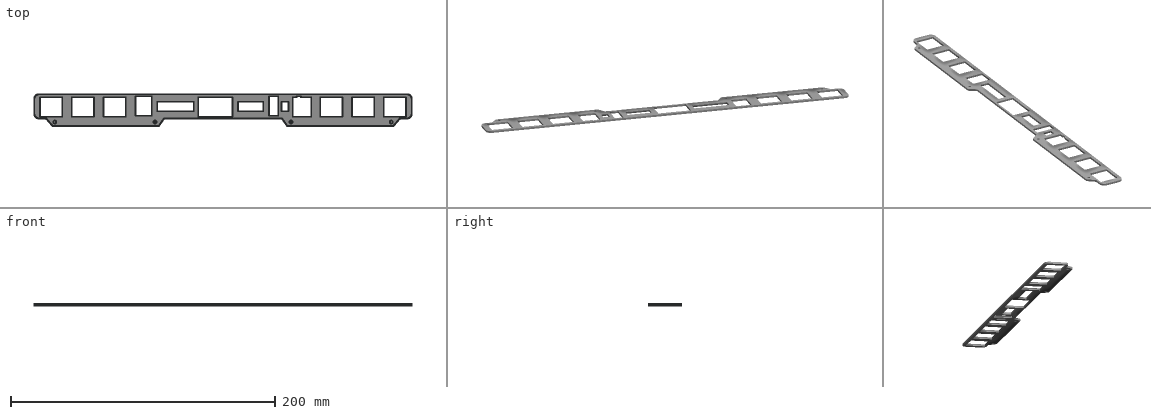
import cadquery as cq

LENGTH = 285.8
WIDTH = 24.3
THICKNESS = 1.5
BAR_WIDTH = 18.5
CORNER_RADIUS = 4.0
TAB_DEPTH = WIDTH - BAR_WIDTH

TAB_OUTER_X = 9.1
TAB_INNER_X = 98.3
TAB_OUTER_RUN = 5.0
TAB_INNER_RUN = 4.0

HOLE_DIAMETER = 2.0
HOLE_OUTER_X = 15.7
HOLE_SPACING = 75.7
HOLE_Y = -2.5

WINDOW_WIDTH = 16.5
WINDOW_HEIGHT = 14.5
WINDOW_Y = 1.5
WINDOW_PITCH = 24.0
WINDOWS_PER_SIDE = 3
END_MARGIN = 4.5
CENTER_WINDOW_X = 124.3
CENTER_WINDOW_WIDTH = 25.7

RAISED_Y = 2.3
RAISED_WINDOWS = [(77.0, 12.0), (177.7, 7.0)]

SLOT_Y = 5.7
SLOT_HEIGHT = 7.0
SLOTS = [(93.2, 27.5), (154.3, 19.0), (187.2, 5.1)]

KEYED_X = 195.7
KEYED_WIDTH = 13.7
NOTCH_OFFSET = 3.0
NOTCH_WIDTH = 3.1
NOTCH_DEPTH = 1.0


def block(x, y, width, height):
    """Full-thickness block with its lower-left corner at (x, y)."""
    return cq.Workplane("XY").box(width, height, THICKNESS, centered=False).translate((x, y, 0))


def mirror_to_right(body):
    """Copy of a left-hand body on the right-hand half of the bar."""
    return body.mirror("YZ", (LENGTH / 2, 0, 0))


def make_tab():
    """Left tab with sloping ends and two mounting holes."""
    tab = (
        cq.Workplane("XY")
        .moveTo(TAB_OUTER_X, 0)
        .lineTo(TAB_OUTER_X + TAB_OUTER_RUN, -TAB_DEPTH)
        .lineTo(TAB_INNER_X - TAB_INNER_RUN, -TAB_DEPTH)
        .lineTo(TAB_INNER_X, 0)
        .close()
        .extrude(THICKNESS)
    )
    holes = (
        cq.Workplane("XY")
        .pushPoints([(HOLE_OUTER_X, HOLE_Y), (HOLE_OUTER_X + HOLE_SPACING, HOLE_Y)])
        .circle(HOLE_DIAMETER / 2)
        .extrude(THICKNESS)
    )
    return tab.cut(holes)


def make_openings():
    """All rectangular openings of the bar, as cutting blocks."""
    openings = []
    for index in range(WINDOWS_PER_SIDE):
        window = block(END_MARGIN + index * WINDOW_PITCH, WINDOW_Y, WINDOW_WIDTH, WINDOW_HEIGHT)
        openings += [window, mirror_to_right(window)]
    openings.append(block(CENTER_WINDOW_X, WINDOW_Y, CENTER_WINDOW_WIDTH, WINDOW_HEIGHT))
    for x, width in RAISED_WINDOWS:
        openings.append(block(x, RAISED_Y, width, WINDOW_HEIGHT))
    for x, width in SLOTS:
        openings.append(block(x, SLOT_Y, width, SLOT_HEIGHT))
    keyed_height = WINDOW_HEIGHT + NOTCH_DEPTH
    openings.append(block(KEYED_X, WINDOW_Y, KEYED_WIDTH, WINDOW_HEIGHT))
    openings.append(block(KEYED_X + NOTCH_OFFSET, WINDOW_Y, NOTCH_WIDTH, keyed_height))
    return openings


bar = block(0, 0, LENGTH, BAR_WIDTH).edges("|Z").fillet(CORNER_RADIUS)
left_tab = make_tab()
result = bar.union(left_tab).union(mirror_to_right(left_tab))
for opening in make_openings():
    result = result.cut(opening)